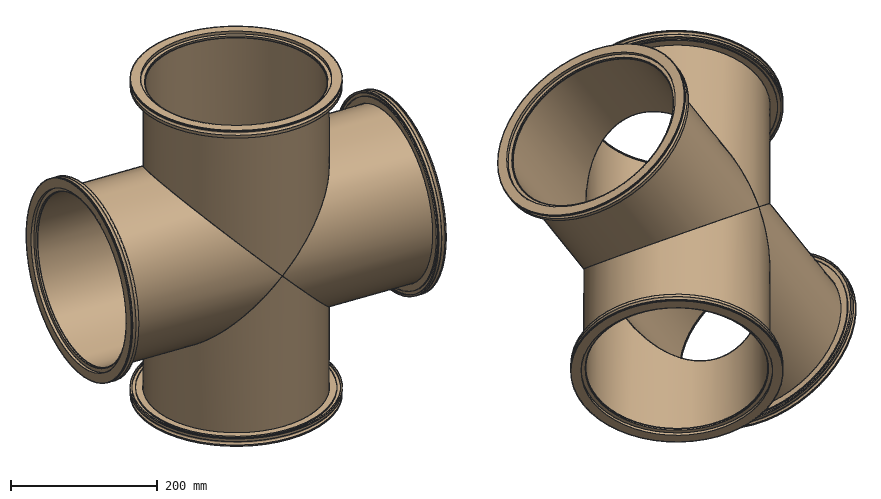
import cadquery as cq

overall_length = 495.5
leg_reach = overall_length / 2
leg_angles = (0, 90, 180, 270)

pipe_outer_radius = 254.0 / 2
pipe_inner_radius = 248.0 / 2

flange_radius = 290.0 / 2
flange_thickness = 12.0
flange_bore_radius = 250.0 / 2
pipe_seat_radius = 255.0 / 2
pipe_seat_depth = 5.0
face_recess_radius = 261.0 / 2
face_recess_depth = 4.5
rim_chamfer = 0.5

channel_inner_radius = 275.0 / 2
channel_outer_radius = 285.0 / 2
channel_depth = 2.0

groove_radius = 5.0 / 2
groove_centre_from_face = 5.0

flange_back = leg_reach - flange_thickness
channel_floor = flange_back + channel_depth
pipe_end = flange_back + pipe_seat_depth


def turn_to_leg(body, angle):
    """Turn a body built along +Z about the X axis to another leg."""
    return body.rotate((0, 0, 0), (1, 0, 0), angle)


def make_pipe(angle):
    """Tube from the centre to its flange, cut to a 90 degree V where the legs meet."""
    tube = (
        cq.Workplane("XY")
        .circle(pipe_outer_radius)
        .circle(pipe_inner_radius)
        .extrude(pipe_end)
    )
    mitre_wedge = (
        cq.Workplane("YZ")
        .polyline([(0, 0), (leg_reach, leg_reach), (-leg_reach, leg_reach)])
        .close()
        .extrude(flange_radius, both=True)
    )
    return turn_to_leg(tube.intersect(mitre_wedge), angle)


def make_flange(angle):
    """Ring with a rim groove, a front recess, a back channel and a seat for the pipe end."""
    groove_centre = leg_reach - groove_centre_from_face
    profile = (
        cq.Workplane("XZ")
        .moveTo(pipe_seat_radius, flange_back)
        .lineTo(channel_inner_radius, flange_back)
        .lineTo(channel_inner_radius, channel_floor)
        .lineTo(channel_outer_radius, channel_floor)
        .lineTo(channel_outer_radius, flange_back)
        .lineTo(flange_radius, flange_back)
        .lineTo(flange_radius, groove_centre - groove_radius)
        .threePointArc(
            (flange_radius - groove_radius, groove_centre),
            (flange_radius, groove_centre + groove_radius),
        )
        .lineTo(flange_radius, leg_reach - rim_chamfer)
        .lineTo(flange_radius - rim_chamfer, leg_reach)
        .lineTo(face_recess_radius, leg_reach)
        .lineTo(face_recess_radius, leg_reach - face_recess_depth)
        .lineTo(flange_bore_radius, leg_reach - face_recess_depth)
        .lineTo(flange_bore_radius, pipe_end)
        .lineTo(pipe_seat_radius, pipe_end)
        .close()
    )
    ring = profile.revolve(360, (0, 0, 0), (0, 1, 0))
    return turn_to_leg(ring, angle)


pipes = [make_pipe(angle).val() for angle in leg_angles]
flanges = [make_flange(angle).val() for angle in leg_angles]

result = cq.Compound.makeCompound([*pipes, *flanges])